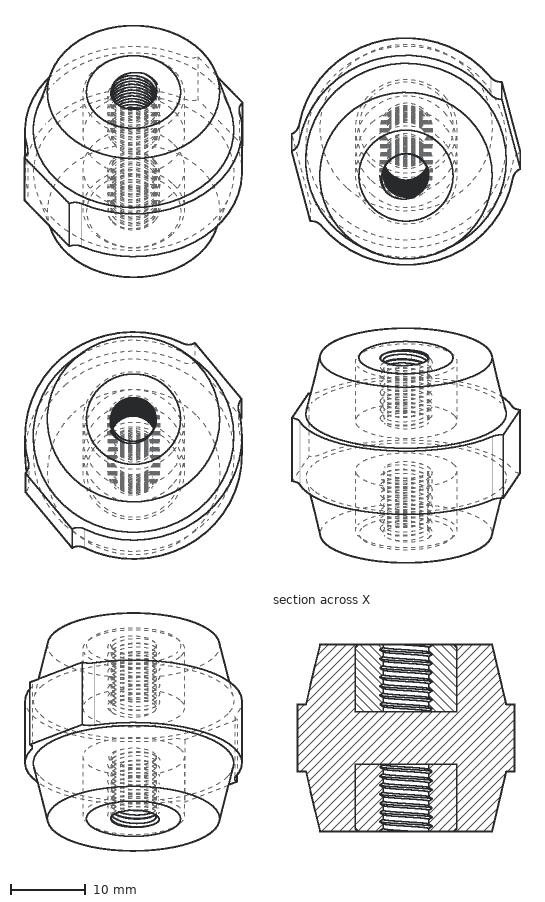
import cadquery as cq
import math

height = 25.0
top_z = height / 2

collar_radius = 14.5
collar_height = 9.0
taper_base_radius = 13.4
taper_end_radius = 11.5

pad_half_width = 5.0
pad_blend_radius = 1.75

insert_radius = 6.3
insert_length = 9.0
insert_chamfer = 0.5
end_angles = (0, 180)

bore_radius = 3.02
thread_pitch = 1.22
thread_depth = 0.45
thread_half_width = 0.3
thread_exit_angle = 120.0


def insert_blank():
    """Solid cylinder hanging below the top face, narrowed at its outer end by a chamfer."""
    return (
        cq.Workplane("XY")
        .workplane(offset=top_z - insert_length)
        .circle(insert_radius + insert_chamfer)
        .extrude(insert_length)
        .faces(">Z")
        .chamfer(insert_chamfer)
    )


def thread_groove():
    """Right-hand V groove whose root crosses the top face at thread_exit_angle."""
    turns_below = math.ceil(insert_length / thread_pitch) + 1
    turns_above = 1
    start_z = top_z - turns_below * thread_pitch
    overlap = 0.05
    inner_half_width = thread_half_width * (1 + overlap / thread_depth)
    path = cq.Wire.makeHelix(thread_pitch, (turns_below + turns_above) * thread_pitch, bore_radius)
    groove = (
        cq.Workplane("XZ")
        .moveTo(bore_radius - overlap, -inner_half_width)
        .lineTo(bore_radius + thread_depth, 0)
        .lineTo(bore_radius - overlap, inner_half_width)
        .close()
        .sweep(cq.Workplane(path), isFrenet=True)
    )
    return groove.rotate((0, 0, 0), (0, 0, 1), thread_exit_angle).translate((0, 0, start_z))


def turned_about_x(body, angle):
    return body.rotate((0, 0, 0), (1, 0, 0), angle)


def collar():
    """Disc with two flat pads, each blended into the round by concave arcs."""
    pad_y = collar_radius
    corner_distance = math.hypot(pad_half_width, pad_y)
    center_distance = collar_radius + pad_blend_radius
    cos_between = (corner_distance**2 + center_distance**2 - pad_blend_radius**2) / (
        2 * corner_distance * center_distance
    )
    blend_angle = math.atan2(pad_y, pad_half_width) - math.acos(cos_between)
    tangent_x = collar_radius * math.cos(blend_angle)
    tangent_y = collar_radius * math.sin(blend_angle)
    return (
        cq.Workplane("XY")
        .moveTo(-pad_half_width, pad_y)
        .lineTo(pad_half_width, pad_y)
        .radiusArc((tangent_x, tangent_y), -pad_blend_radius)
        .threePointArc((collar_radius, 0), (tangent_x, -tangent_y))
        .radiusArc((pad_half_width, -pad_y), -pad_blend_radius)
        .lineTo(-pad_half_width, -pad_y)
        .radiusArc((-tangent_x, -tangent_y), -pad_blend_radius)
        .threePointArc((-collar_radius, 0), (-tangent_x, tangent_y))
        .radiusArc((-pad_half_width, pad_y), -pad_blend_radius)
        .close()
        .extrude(collar_height / 2, both=True)
    )


def make_housing():
    tapered_ends = (
        cq.Workplane("YZ")
        .moveTo(0, -top_z)
        .lineTo(taper_end_radius, -top_z)
        .lineTo(taper_base_radius, -collar_height / 2)
        .lineTo(taper_base_radius, collar_height / 2)
        .lineTo(taper_end_radius, top_z)
        .lineTo(0, top_z)
        .close()
        .revolve(360, (0, 0, 0), (0, 1, 0))
    )
    body = collar().union(tapered_ends)
    for angle in end_angles:
        body = body.cut(turned_about_x(insert_blank(), angle))
    return body


def make_insert():
    """Overlong sleeve that holds the whole groove, trimmed to the outer shape of the insert."""
    sleeve = (
        cq.Workplane("XY")
        .circle(collar_radius)
        .circle(bore_radius)
        .extrude(top_z + insert_length)
    )
    return sleeve.cut(thread_groove()).intersect(insert_blank())


housing = make_housing()
inserts = [turned_about_x(make_insert(), angle) for angle in end_angles]

result = cq.Compound.makeCompound([housing.val(), *[insert.val() for insert in inserts]])